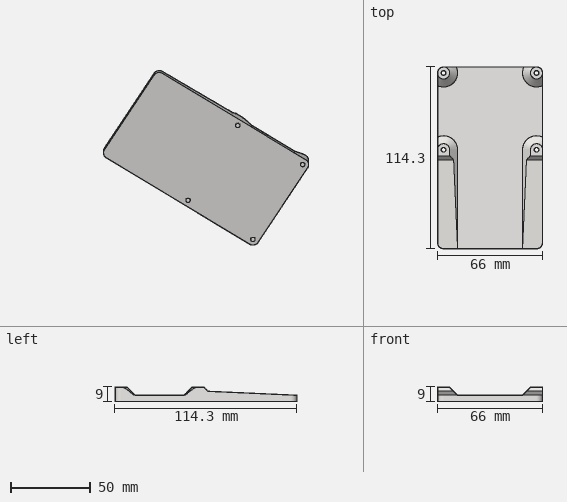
import cadquery as cq

WIDTH = 66.04
LENGTH = 114.3
PLATE_THICKNESS = 4.0
HOLE_INSET = 3.81
CORNER_RADIUS = HOLE_INSET

TOTAL_HEIGHT = 9.0
STANDOFF_HEIGHT = TOTAL_HEIGHT - PLATE_THICKNESS
TOP_RADIUS = HOLE_INSET
BASE_RADIUS = TOP_RADIUS + STANDOFF_HEIGHT
HOLE_DIAMETER = 2.8
HOLE_ROW_SPACING = 48.26

HOLE_X = WIDTH / 2 - HOLE_INSET
REAR_HOLE_Y = LENGTH / 2 - HOLE_INSET
MIDDLE_HOLE_Y = REAR_HOLE_Y - HOLE_ROW_SPACING
HOLE_CENTERS = [(side * HOLE_X, y) for side in (-1, 1) for y in (REAR_HOLE_Y, MIDDLE_HOLE_Y)]

FRONT_Y = -LENGTH / 2
RAMP_RISE = STANDOFF_HEIGHT / 2


def rounded_block(height):
    """Block with the plate's rounded outline."""
    return (
        cq.Workplane("XY")
        .rect(WIDTH, LENGTH)
        .extrude(height)
        .edges("|Z")
        .fillet(CORNER_RADIUS)
    )


def standoff(x, y):
    """Cone frustum that tapers from the plate's top face up to a flat pad."""
    cone = cq.Solid.makeCone(BASE_RADIUS, TOP_RADIUS, STANDOFF_HEIGHT)
    return cq.Workplane(obj=cone).translate((x, y, PLATE_THICKNESS))


def side_rail(side):
    """Rail with a 45 degree inner flank, a flat pad, a 45 degree step and a long ramp."""
    section = (
        cq.Workplane("XZ", origin=(0, MIDDLE_HOLE_Y, 0))
        .moveTo(side * WIDTH / 2, 0)
        .lineTo(side * (HOLE_X - BASE_RADIUS), 0)
        .lineTo(side * (HOLE_X - BASE_RADIUS), PLATE_THICKNESS)
        .lineTo(side * (HOLE_X - TOP_RADIUS), TOTAL_HEIGHT)
        .lineTo(side * WIDTH / 2, TOTAL_HEIGHT)
        .close()
        .extrude(MIDDLE_HOLE_Y - FRONT_Y)
    )
    pad_end_y = MIDDLE_HOLE_Y - TOP_RADIUS
    step_drop = STANDOFF_HEIGHT - RAMP_RISE
    side_profile = (
        cq.Workplane("YZ")
        .moveTo(FRONT_Y, 0)
        .lineTo(FRONT_Y, PLATE_THICKNESS)
        .lineTo(pad_end_y - step_drop, PLATE_THICKNESS + RAMP_RISE)
        .lineTo(pad_end_y, TOTAL_HEIGHT)
        .lineTo(MIDDLE_HOLE_Y, TOTAL_HEIGHT)
        .lineTo(MIDDLE_HOLE_Y, 0)
        .close()
        .extrude(WIDTH / 2, both=True)
    )
    return section.intersect(side_profile)


body = rounded_block(PLATE_THICKNESS)
for center in HOLE_CENTERS:
    body = body.union(standoff(*center))
for side in (-1, 1):
    body = body.union(side_rail(side))

body = body.intersect(rounded_block(TOTAL_HEIGHT))

holes = cq.Workplane("XY").pushPoints(HOLE_CENTERS).circle(HOLE_DIAMETER / 2).extrude(TOTAL_HEIGHT)
result = body.cut(holes)